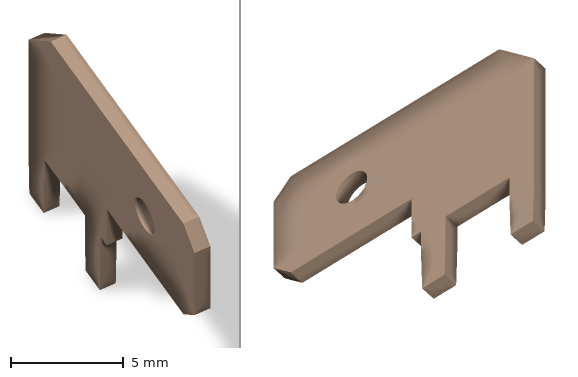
import cadquery as cq

length = 14.99
height = 12.7
thickness = 0.81

tab_height = 6.35
body_width = 7.06
leg_length = 3.81
leg_width = 1.42
leg_pitch = 5.08
leg_straight_length = 1.52
leg_tip_inset = 0.065

corner_chamfer = 2.0
tab_chamfer = 1.0

hole_diameter = 1.78
hole_from_tab_end = 4.50

tab_bottom = height - tab_height
hole_x = length - hole_from_tab_end
hole_z = height - tab_height / 2


def extrude_plate(sketch):
    """Extrude an XZ sketch through the plate thickness, centred on Y = 0."""
    return sketch.extrude(thickness).translate((0, thickness / 2, 0))


def make_body():
    """Flag-shaped body: upright block with the chamfered tab to its right."""
    outline = [
        (0, leg_length),
        (body_width, leg_length),
        (body_width, tab_bottom),
        (length - tab_chamfer, tab_bottom),
        (length, tab_bottom + tab_chamfer),
        (length, height - tab_chamfer),
        (length - tab_chamfer, height),
        (corner_chamfer, height),
        (0, height - corner_chamfer),
    ]
    return extrude_plate(cq.Workplane("XZ").polyline(outline).close())


def make_leg(left):
    """Solder leg, parallel-sided at the root and slightly tapered to its tip."""
    right = left + leg_width
    taper_start = leg_length - leg_straight_length
    outline = [
        (left, leg_length),
        (left, taper_start),
        (left + leg_tip_inset, 0),
        (right - leg_tip_inset, 0),
        (right, taper_start),
        (right, leg_length),
    ]
    return extrude_plate(cq.Workplane("XZ").polyline(outline).close())


def make_hole():
    """Detent hole through the tab."""
    return extrude_plate(cq.Workplane("XZ").center(hole_x, hole_z).circle(hole_diameter / 2))


result = make_body()
for leg_left in (0, leg_pitch):
    result = result.union(make_leg(leg_left))
result = result.cut(make_hole())